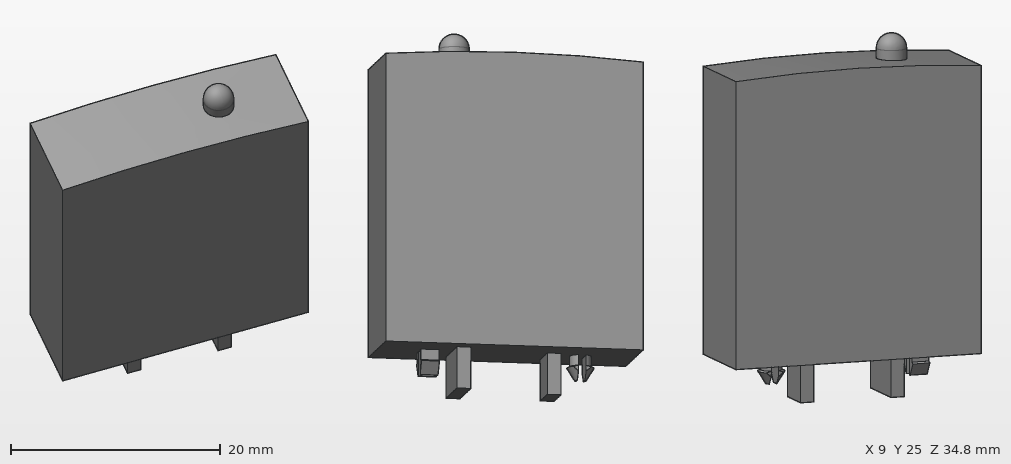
import cadquery as cq

width = 9.0
depth = 25.0
height = 34.82
housing_bottom = 4.0
shoulder_z = 31.93
crown_z = 32.45

lamp_radius = 1.45
lamp_y = 5.0

blade_thickness = 1.35
blades = [
    (-2.82, 2.82, 4.6),
    (-1.15, 2.5, -4.5),
]

peg_x = 0.15
round_peg_y = -7.28
flat_peg_y = 7.52
flat_peg_width = 1.75
stem_radius = 1.05
barb_radius = 1.305
tip_radius = 0.55
barb_start_depth = 1.0
barb_edge_depth = 1.15
peg_length = 2.37
peg_slot = 0.73
round_peg_width = 2.0
embed = 0.35


def make_housing():
    return (
        cq.Workplane("YZ")
        .moveTo(-depth / 2, housing_bottom)
        .lineTo(depth / 2, housing_bottom)
        .lineTo(depth / 2, shoulder_z)
        .threePointArc((0, crown_z), (-depth / 2, shoulder_z))
        .close()
        .extrude(width / 2, both=True)
    )


def make_lamp():
    dome_z = height - lamp_radius
    base_z = shoulder_z - embed
    stem = cq.Workplane("XY", origin=(0, lamp_y, base_z)).circle(lamp_radius).extrude(dome_z - base_z)
    dome = cq.Workplane("XY", origin=(0, lamp_y, dome_z)).sphere(lamp_radius)
    return stem.union(dome)


def make_blade(x_start, x_end, y):
    return (
        cq.Workplane("XY", origin=((x_start + x_end) / 2, y, 0))
        .rect(x_end - x_start, blade_thickness)
        .extrude(housing_bottom + embed)
    )


def peg_half_profile():
    """Half section of a barbed peg in XZ, with the housing bottom at z = 0."""
    return (
        cq.Workplane("XZ")
        .moveTo(0, embed)
        .lineTo(stem_radius, embed)
        .lineTo(stem_radius, -barb_start_depth)
        .lineTo(barb_radius, -barb_edge_depth)
        .lineTo(tip_radius, -peg_length)
        .lineTo(0, -peg_length)
        .close()
    )


def centred_block(x_size, y_size):
    """Block as tall as any peg needs, used to trim or split a peg."""
    return cq.Workplane("XY").box(x_size, y_size, 3 * peg_length)


def slot_below_housing(x_size, y_size):
    return cq.Workplane("XY").rect(x_size, y_size).extrude(-2 * peg_length)


def make_round_peg():
    """Turned peg with flats on its X sides, split into two prongs along Y."""
    clearance = 4 * barb_radius
    peg = peg_half_profile().revolve(360, (0, 0, 0), (0, 1, 0))
    peg = peg.intersect(centred_block(round_peg_width, clearance))
    peg = peg.cut(slot_below_housing(clearance, peg_slot))
    return peg.translate((peg_x, round_peg_y, housing_bottom))


def make_flat_peg():
    """Flat-sided peg with the same section, split into two prongs along X."""
    half = peg_half_profile().extrude(flat_peg_width / 2, both=True)
    peg = half.union(half.mirror("YZ"))
    peg = peg.cut(slot_below_housing(peg_slot, 2 * flat_peg_width))
    return peg.translate((peg_x, flat_peg_y, housing_bottom))


result = make_housing().union(make_lamp())
for x_start, x_end, y in blades:
    result = result.union(make_blade(x_start, x_end, y))
result = result.union(make_round_peg()).union(make_flat_peg())